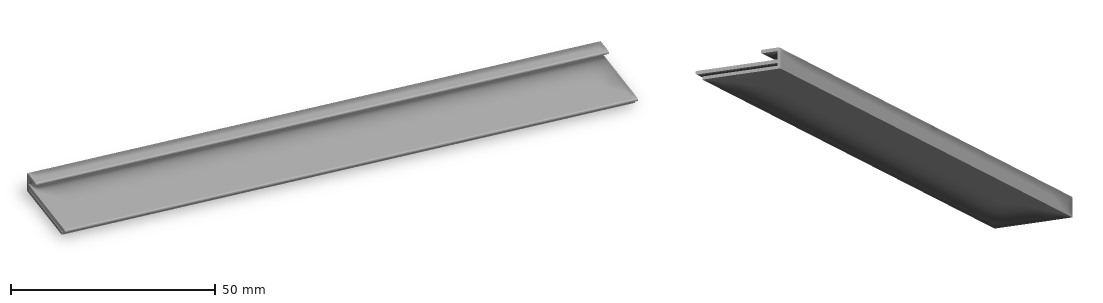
import cadquery as cq

length = 152.4
width = 23.5
height = 5.4

wall = 0.8
flange_thickness = 0.9

base_reach = 21.6
lip_reach = 5.4

lower_gap = 0.7

corner_radius = 0.5
tip_radius = 0.4


def strip(reach, bottom, thickness):
    """Full-length flat strip that starts at the outer face of the web."""
    plate = cq.Workplane("XY").box(reach, length, thickness, centered=(False, True, False))
    return plate.translate((0, 0, bottom))


def rounded_flange(reach, bottom):
    """Flange with the upper and lower edges of its free end rounded."""
    plate = strip(reach, bottom, flange_thickness)
    return plate.faces(">X").edges("|Y").fillet(tip_radius)


web = strip(wall, 0, height)
base = strip(base_reach, 0, wall)
middle_flange = rounded_flange(width, wall + lower_gap)
lip = rounded_flange(lip_reach, height - flange_thickness)

profile = web.union(base).union(middle_flange).union(lip)

result = profile.faces("<X").edges("|Y and >Z").fillet(corner_radius)